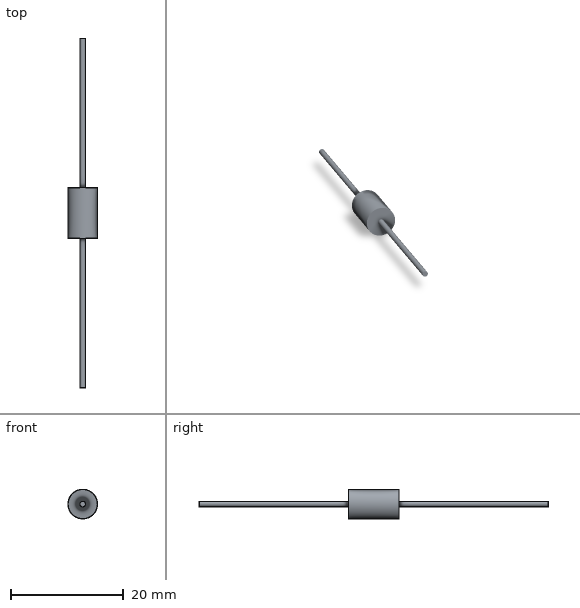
import cadquery as cq

overall_length = 62.0
body_diameter = 5.25
body_length = 9.0
lead_diameter = 1.0


def rod_along_y(diameter, length):
    """Return a round rod on the Y axis, centred on the origin."""
    far_end = cq.Workplane("XZ", origin=(0, length / 2, 0))
    return far_end.circle(diameter / 2).extrude(length)


body = rod_along_y(body_diameter, body_length)

leads = rod_along_y(lead_diameter, overall_length)

result = body.union(leads)